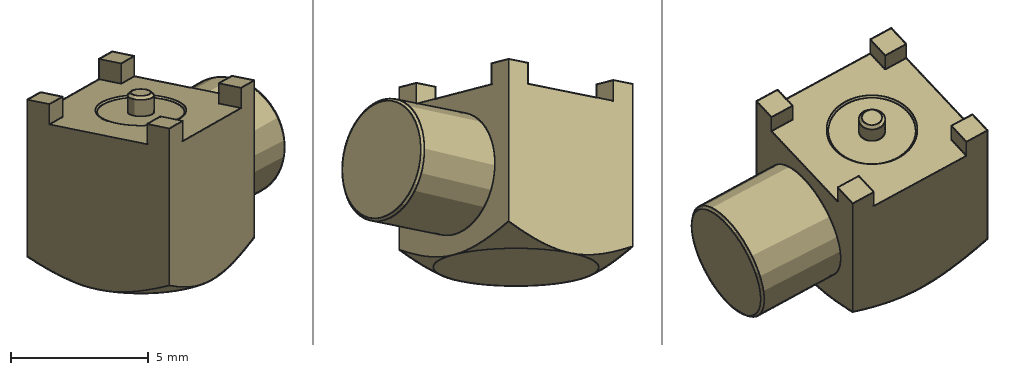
import cadquery as cq
import math

block_width = 6.0
total_height = 6.76
tab_size = 0.94
tab_height = 0.78
deck_z = total_height - tab_height
corner_slope = 30.0

total_length = 9.5
barrel_diameter = 4.5
barrel_length = total_length - block_width
barrel_chamfer = 0.095
barrel_axis_z = block_width / 2

insulator_diameter = 3.16
socket_chamfer = 0.07
insulator_top_z = deck_z - socket_chamfer
socket_floor_z = barrel_axis_z

pin_diameter = 0.96
pin_top_gap = 0.095
pin_chamfer = 0.11
pin_length = total_height - pin_top_gap - socket_floor_z


def make_cylinder(diameter, bottom_z, height):
    return cq.Workplane("XY").workplane(offset=bottom_z).circle(diameter / 2).extrude(height)


def make_corner_envelope():
    """Flared solid whose base circle touches the block sides at Z = 0."""
    base_radius = block_width / 2
    corner_radius = block_width / math.sqrt(2)
    top_radius = corner_radius + tab_size
    flare_height = (top_radius - base_radius) * math.tan(math.radians(corner_slope))
    return (
        cq.Workplane("XZ")
        .polyline([
            (0, 0),
            (base_radius, 0),
            (top_radius, flare_height),
            (top_radius, total_height),
            (0, total_height),
        ])
        .close()
        .revolve(360, (0, 0), (0, 1))
    )


def make_block():
    block = cq.Workplane("XY").rect(block_width, block_width).extrude(deck_z)
    tab_pitch = block_width - tab_size
    tabs = (
        cq.Workplane("XY")
        .workplane(offset=deck_z)
        .rect(tab_pitch, tab_pitch, forConstruction=True)
        .vertices()
        .rect(tab_size, tab_size)
        .extrude(tab_height)
    )
    return block.union(tabs).intersect(make_corner_envelope())


def make_barrel():
    return (
        cq.Workplane("XZ", origin=(0, block_width / 2, barrel_axis_z))
        .circle(barrel_diameter / 2)
        .extrude(-barrel_length)
        .faces(">Y")
        .chamfer(barrel_chamfer)
    )


def make_socket_cut():
    """Straight bore with a 45 degree countersink at the deck."""
    radius = insulator_diameter / 2
    return (
        cq.Workplane("XZ")
        .polyline([
            (0, socket_floor_z),
            (radius, socket_floor_z),
            (radius, insulator_top_z),
            (radius + socket_chamfer, deck_z),
            (0, deck_z),
        ])
        .close()
        .revolve(360, (0, 0), (0, 1))
    )


def make_housing():
    return make_block().union(make_barrel()).cut(make_socket_cut())


def make_insulator():
    disc = make_cylinder(insulator_diameter, socket_floor_z, insulator_top_z - socket_floor_z)
    pin_hole = make_cylinder(pin_diameter, socket_floor_z, pin_length)
    return disc.cut(pin_hole)


def make_pin():
    return make_cylinder(pin_diameter, socket_floor_z, pin_length).faces(">Z").chamfer(pin_chamfer)


housing = make_housing()
insulator = make_insulator()
pin = make_pin()

result = cq.Compound.makeCompound([housing.val(), insulator.val(), pin.val()])